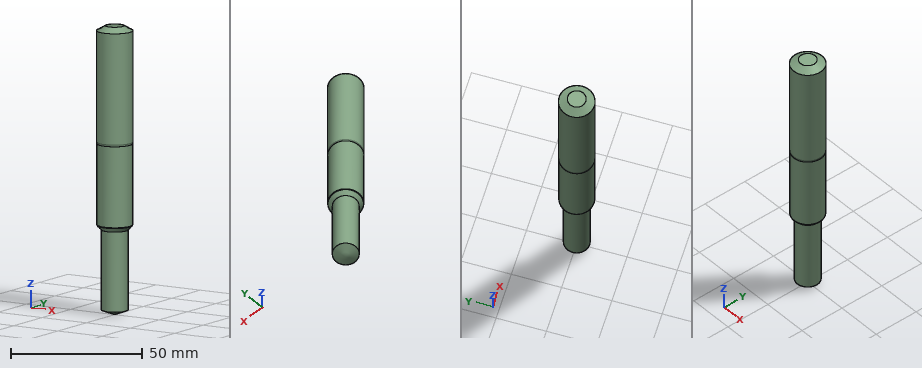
import cadquery as cq

total_length = 112.0
handle_diameter = 14.0
top_flat_diameter = 7.2
top_bevel_height = 1.9

collar_diameter = 13.8
shank_diameter = 10.3
tip_height = 1.9
shank_top = 32.9
shoulder_height = 1.7
joint_height = 66.3

rim_bevel_height = 0.7

edge_break_height = 0.3
edge_break_depth = 0.1


def make_handle():
    """Upper cylinder with a bevelled free end and a lightly bevelled joint rim."""
    radius = handle_diameter / 2
    return (
        cq.Workplane("XZ")
        .moveTo(0, joint_height)
        .lineTo(collar_diameter / 2, joint_height)
        .lineTo(radius, joint_height + rim_bevel_height)
        .lineTo(radius, total_length - top_bevel_height)
        .lineTo(top_flat_diameter / 2, total_length)
        .lineTo(0, total_length)
        .close()
        .revolve(360, (0, 0, 0), (0, 1, 0))
    )


def make_stepped_bit():
    """Collar that tapers down to a slimmer shank with a pointed tip."""
    collar_radius = collar_diameter / 2
    shank_radius = shank_diameter / 2
    shoulder_top = shank_top + shoulder_height
    return (
        cq.Workplane("XZ")
        .moveTo(0, 0)
        .lineTo(shank_radius, tip_height)
        .lineTo(shank_radius, shank_top)
        .lineTo(collar_radius - edge_break_depth, shoulder_top)
        .lineTo(collar_radius, shoulder_top + edge_break_height)
        .lineTo(collar_radius, joint_height)
        .lineTo(0, joint_height)
        .close()
        .revolve(360, (0, 0, 0), (0, 1, 0))
    )


handle = make_handle()
stepped_bit = make_stepped_bit()

result = cq.Compound.makeCompound([handle.val(), stepped_bit.val()])